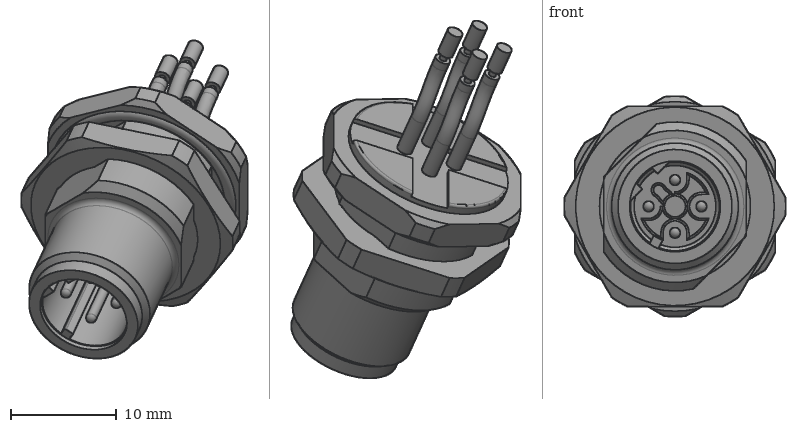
import cadquery as cq
import math


tip_end = 1.4
barrel_start = 1.95
thread_start = 9.5
nut_front = 13.5
hex_front = 19.24
nut_thickness = 2.72
flange_end = 22.93
overall_length = 35.85

tip_dia = 10.8
barrel_dia = 12.0
barrel_fillet = 0.5
thread_dia = 16.0
thread_chamfer = 0.8
flat_distance = 6.75
flat_angles = (0, 135, 180, 315)
flange_fillet = 0.25
slot_width = 3.65
slot_depth = 0.47

across_flats = 19.0
nut_corner_dia = 21.0
nut_bore_dia = 14.3
nut_chamfer_depth = 0.43
nut_face_dia = 18.8
hex_corner_dia = 20.9
hex_chamfer = 0.53
seal_outer_dia = 18.5
seal_cord_radius = 0.65
seal_projection = 0.32

lip_dia = 8.6
lip_depth = 0.5
socket_dia = 8.4
socket_floor_dia = 7.74
socket_depth = 9.0
keyway_angle = 135
keyway_width = 2.06
pad_reach = 3.35
rib_angle = 242
rib_width = 0.95
rib_reach = 3.35
rib_fillet = 0.12

recess_depth = 0.2
recess_draft = 45
recess_dia = 6.8
boss_dia = 2.0
pad_width = 2.26
lobe_width = 1.36
lobe_center = 2.2

contact_radius = 2.5
contact_dia = 1.0
contact_setback = 2.0
wire_dia = 1.5
neck_dia = 0.7
wire_rise = 1.2
bend_start = 26.3
bend_end = 31.8
neck_start = 32.6
neck_end = 33.3
contact_places = [
    (contact_radius, 0),
    (0, contact_radius),
    (-contact_radius, 0),
    (0, -contact_radius),
]


def plane_at(y):
    """Sketch plane across the axis at station y: local x = X, local y = Z, normal towards -Y."""
    return cq.Workplane("XZ", origin=(0, y, 0))


def rod(dia, start, end, x=0, z=0):
    """Cylinder parallel to Y."""
    return plane_at(start).center(x, z).circle(dia / 2).extrude(start - end)


def block(inner, outer, width, start, end, angle):
    """Box reaching from inner to outer along the radial direction at the given angle."""
    box = cq.Workplane("XY").box(outer - inner, end - start, width)
    box = box.translate(((inner + outer) / 2, (start + end) / 2, 0))
    return box.rotate((0, 0, 0), (0, 1, 0), -angle)


def turned(profile):
    """Revolve a profile drawn as (radius, station) about the Y axis."""
    return profile.close().revolve(360, (0, 0, 0), (0, 1, 0))


def shell():
    barrel = barrel_dia / 2
    body = turned(
        cq.Workplane("XY")
        .lineTo(tip_dia / 2, 0)
        .lineTo(tip_dia / 2, tip_end)
        .lineTo(barrel, barrel_start)
        .lineTo(barrel, thread_start - barrel_fillet)
        .radiusArc((barrel + barrel_fillet, thread_start), barrel_fillet)
        .lineTo(thread_dia / 2 - thread_chamfer, thread_start)
        .lineTo(thread_dia / 2, thread_start + thread_chamfer)
        .lineTo(thread_dia / 2, hex_front)
        .lineTo(0, hex_front)
    )
    for angle in flat_angles:
        body = body.cut(block(flat_distance, thread_dia, 2 * thread_dia, thread_start, hex_front, angle))
    return body


def hexagon(start, corner_dia, first_corner):
    """Hexagon with its corners turned down to corner_dia."""
    prism = plane_at(start).polygon(6, across_flats / math.cos(math.pi / 6)).extrude(-nut_thickness)
    prism = prism.rotate((0, 0, 0), (0, 1, 0), first_corner)
    return prism.intersect(rod(corner_dia, start, start + nut_thickness))


def lock_nut():
    corner = nut_corner_dia / 2
    cone = turned(
        cq.Workplane("XY")
        .moveTo(0, nut_front)
        .lineTo(nut_face_dia / 2, nut_front)
        .lineTo(corner, nut_front + nut_chamfer_depth)
        .lineTo(corner, nut_front + nut_thickness)
        .lineTo(0, nut_front + nut_thickness)
    )
    nut = hexagon(nut_front, nut_corner_dia, first_corner=0).intersect(cone)
    return nut.cut(rod(nut_bore_dia, nut_front, nut_front + nut_thickness))


def rear_hexagon():
    limit = rod(hex_corner_dia, hex_front, hex_front + nut_thickness).edges("%CIRCLE").chamfer(hex_chamfer)
    return hexagon(hex_front, hex_corner_dia, first_corner=30).intersect(limit)


def seal():
    ring_radius = seal_outer_dia / 2 - seal_cord_radius
    cord = cq.Workplane("XY").center(ring_radius, hex_front - seal_projection + seal_cord_radius)
    return cord.circle(seal_cord_radius).revolve(360, (-ring_radius, 0, 0), (-ring_radius, 1, 0))


def rear_flange():
    flange = rod(thread_dia, hex_front + nut_thickness, flange_end).faces(">Y").edges().fillet(flange_fillet)
    for angle in (0, 90):
        flange = flange.cut(
            block(-thread_dia, thread_dia, slot_width, flange_end - slot_depth, flange_end, angle)
        )
    return flange


def socket():
    """Cavity with its keyway pads and guide rib left standing."""
    socket_radius = socket_dia / 2
    corner_bevel = socket_radius - socket_floor_dia / 2
    cavity = turned(
        cq.Workplane("XY")
        .moveTo(0, lip_depth)
        .lineTo(socket_radius, lip_depth)
        .lineTo(socket_radius, socket_depth - corner_bevel)
        .lineTo(socket_floor_dia / 2, socket_depth)
        .lineTo(0, socket_depth)
    )
    pads = block(pad_reach, lip_dia, 2 * lip_dia, lip_depth, socket_depth, keyway_angle)
    pads = pads.cut(block(pad_reach, lip_dia, keyway_width, lip_depth, socket_depth, keyway_angle))
    rib = block(rib_reach, lip_dia, rib_width, lip_depth, socket_depth, 0)
    rib = rib.faces("<X").edges("|Y").fillet(rib_fillet)
    rib = rib.rotate((0, 0, 0), (0, 1, 0), -rib_angle)
    return cavity.cut(pads).cut(rib).union(rod(lip_dia, 0, lip_depth))


def contact_recess():
    """Drafted recess in the socket floor around the centre boss and the four contact pads."""
    floor = plane_at(socket_depth)
    bottom = plane_at(socket_depth + recess_depth)
    recess = floor.circle(recess_dia / 2).extrude(-recess_depth, taper=recess_draft)
    keyway_quadrant = block(-recess_dia, 0, recess_dia, socket_depth, socket_depth + recess_depth, 0)
    recess = recess.cut(keyway_quadrant.translate((0, 0, recess_dia / 2)))
    lobe = floor.transformed(rotate=(0, 0, keyway_angle)).center(lobe_center / 2, 0)
    lobe = lobe.slot2D(lobe_center + lobe_width, lobe_width).extrude(-recess_depth, taper=recess_draft)
    recess = recess.union(lobe)

    spread = 2 * recess_depth * math.tan(math.radians(recess_draft))
    boss = bottom.circle((boss_dia + spread) / 2).extrude(recess_depth, taper=recess_draft)
    recess = recess.cut(boss)
    pad_length = 2 * contact_radius
    for index in range(len(contact_places)):
        pad = bottom.transformed(rotate=(0, 0, 90 * index)).center(contact_radius + pad_length / 2, 0)
        pad = pad.slot2D(pad_length + pad_width + spread, pad_width + spread)
        recess = recess.cut(pad.extrude(recess_depth, taper=recess_draft))
    return recess


def contact(x, z):
    """Pin standing on the socket floor with a domed tip."""
    dome_radius = contact_dia / 2
    dome_center = contact_setback + dome_radius
    pin = rod(contact_dia, dome_center, socket_depth + recess_depth, x, z)
    return pin.union(cq.Workplane("XY").sphere(dome_radius).translate((x, dome_center, z)))


def wire(x, z):
    """Wire with an S-bend towards +Z, a bare neck and an end sleeve."""
    raised = z + wire_rise
    root = flange_end - 2 * slot_depth
    path = cq.Workplane("YZ", origin=(x, 0, 0)).moveTo(bend_start, z)
    path = path.spline([(bend_end, raised)], tangents=[(1, 0), (1, 0)], includeCurrent=True)
    bend = plane_at(bend_start).center(x, z).circle(wire_dia / 2).sweep(path)
    lead = rod(wire_dia, root, bend_start, x, z).union(bend)
    lead = lead.union(rod(wire_dia, bend_end, neck_start, x, raised))
    lead = lead.union(rod(neck_dia, neck_start, neck_end, x, raised))
    return lead.union(rod(wire_dia, neck_end, overall_length, x, raised))


result = shell().union(lock_nut()).union(rear_hexagon()).union(seal()).union(rear_flange())
result = result.cut(socket()).cut(contact_recess())
for place_x, place_z in contact_places:
    result = result.union(contact(place_x, place_z)).union(wire(place_x, place_z))